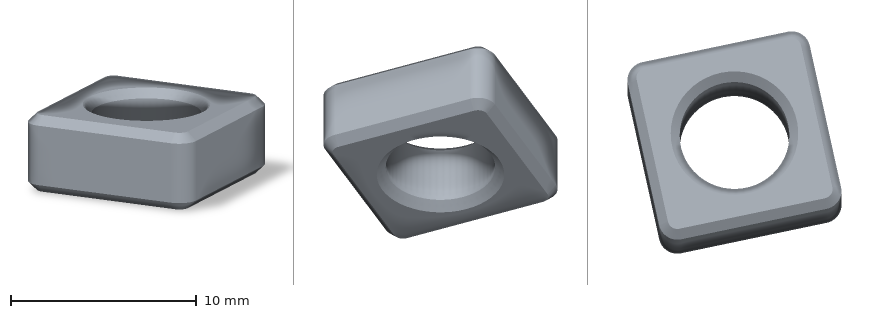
import cadquery as cq

side = 10.0
height = 4.27
corner_radius = 1.0
hole_diameter = 5.9
edge_chamfer = 0.48

block = (
    cq.Workplane("XY")
    .box(side, side, height)
    .edges("|Z")
    .fillet(corner_radius)
    .faces("<Z or >Z")
    .edges()
    .chamfer(edge_chamfer)
)

hole = cq.Workplane("XY").circle(hole_diameter / 2).extrude(height, both=True)
result = block.cut(hole)
result = result.faces("<Z or >Z").edges("%CIRCLE").edges(
    cq.selectors.RadiusNthSelector(-1)
).chamfer(edge_chamfer)